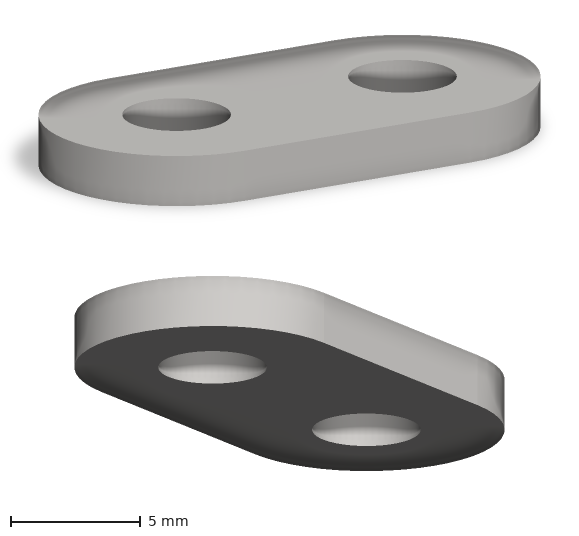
import cadquery as cq

length = 20.67
width = 10.67
thickness = 2.03
hole_diameter = 4.2

hole_spacing = length - width
hole_centers = [(0, -hole_spacing / 2), (0, hole_spacing / 2)]

plate = cq.Workplane("XY").slot2D(length, width, angle=90).extrude(thickness)

result = plate.faces(">Z").workplane(origin=(0, 0, thickness)).pushPoints(hole_centers).hole(hole_diameter)